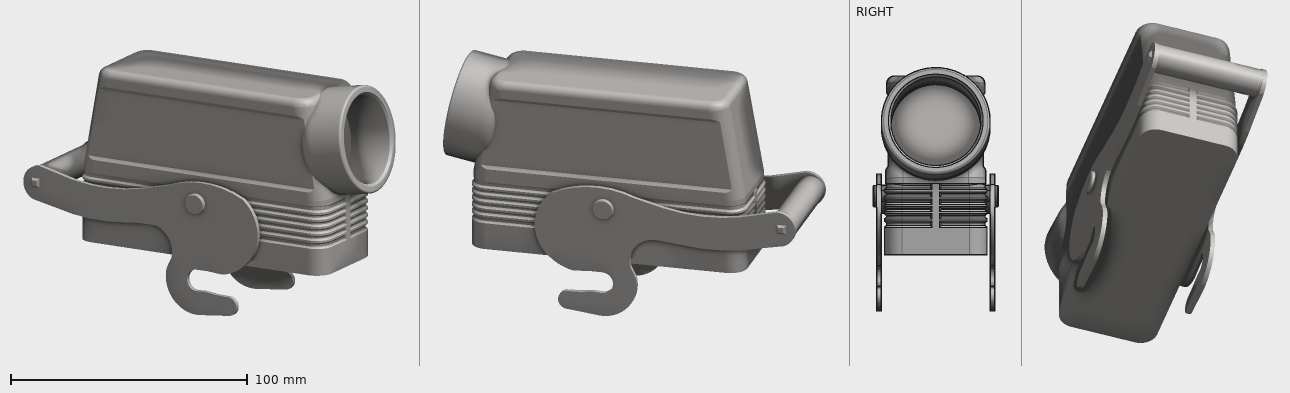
import cadquery as cq
import math

BASE_LENGTH = 120.2
BASE_WIDTH = 43.4
CORNER_RADIUS = 7.4
PLINTH_TOP = 11.7
BAND_TOP = 30.2
COLLAR_TOP = 32.7
HOOD_TOP = 75.6
COLLAR_INSET = 0.55
COLLAR_LENGTH = BASE_LENGTH - 2 * COLLAR_INSET
COLLAR_WIDTH = BASE_WIDTH - 2 * COLLAR_INSET
END_DRAFT = 10.0
SIDE_DRAFT = 0.5
TOP_FILLET = 3.4

GROOVE_COUNT = 6
GROOVE_PITCH = (BAND_TOP - PLINTH_TOP) / GROOVE_COUNT
GROOVE_DEPTH = 0.9
GROOVE_SLOPE_HEIGHT = 0.8
RIB_LAND = 0.9
STRIP_FACE_WIDTH = 3.0
STRIP_ROOT_WIDTH = 4.6

PANEL_BOTTOM = 37.4
PANEL_TOP = 67.2
PANEL_DEPTH = 0.95
PANEL_BEVEL = 1.4

ENTRY_RADIUS = 23.0
ENTRY_BORE_RADIUS = 19.0
ENTRY_BORE_DEPTH = 20.0
ENTRY_BORE_CHAMFER = 1.0
ENTRY_LENGTH = 22.5
ENTRY_FACE_X = 69.68
ENTRY_FACE_Z = 56.65
ENTRY_INNER_FILLET = 7.5
ENTRY_RIM_FILLET = 1.0

LEVER_OUTER_Y = 25.0
LEVER_THICKNESS = 2.0
LEVER_INNER_Y = LEVER_OUTER_Y - LEVER_THICKNESS
HOOK_X = 0.5
HOOK_Z = -8.65
HOOK_MOUTH_RADIUS = 4.7
HOOK_OUTER_RADIUS = 15.05
HOOK_ARC_ANGLES = (-80.0, -135.0, -194.0)
PIVOT_Z = 24.8
PIVOT_RADIUS = 2.5
PIVOT_HEAD_RADIUS = 4.6
PIVOT_HEAD_HEIGHT = 1.5
PIVOT_HEAD_CHAMFER = 0.5
HANDLE_RADIUS = 6.0
HANDLE_X = -77.8
HANDLE_Z = 23.5
STUB_SIDE = 4.0
STUB_TIP_SIDE = 2.2
STUB_HEIGHT = 1.0


def rounded_prism(length, width, start_z, height, radius, taper=0.0):
    """Prism with rounded corners, growing downward if height is negative; a taper narrows it from start_z on."""
    outline = cq.Sketch().rect(length, width).vertices().fillet(radius)
    return cq.Workplane("XY").workplane(offset=start_z).placeSketch(outline).extrude(height, taper=taper)


def make_rib_slope(land_z, length, width, radius, upward):
    """Sloped flank from a land of the given size down to the groove floor, above or below the land."""
    height = GROOVE_SLOPE_HEIGHT if upward else -GROOVE_SLOPE_HEIGHT
    land_inset = (BASE_LENGTH - length) / 2
    slope_depth = GROOVE_DEPTH - land_inset
    slope_angle = math.degrees(math.atan(slope_depth / GROOVE_SLOPE_HEIGHT))
    return rounded_prism(length, width, land_z, height, radius, slope_angle)


def make_rib(center_z):
    """Ring rib: vertical land with a sloped flank above and below it."""
    land_bottom = center_z - RIB_LAND / 2
    land_top = center_z + RIB_LAND / 2
    size = (BASE_LENGTH, BASE_WIDTH, CORNER_RADIUS)
    land = rounded_prism(BASE_LENGTH, BASE_WIDTH, land_bottom, RIB_LAND, CORNER_RADIUS)
    return land.union(make_rib_slope(land_top, *size, True)).union(make_rib_slope(land_bottom, *size, False))


def make_end_strips():
    """Upright strips that bridge the grooves in the middle of both ends."""
    half_length = BASE_LENGTH / 2
    root_x = half_length - GROOVE_DEPTH
    outline = [
        (-half_length, -STRIP_FACE_WIDTH / 2),
        (-root_x, -STRIP_ROOT_WIDTH / 2),
        (root_x, -STRIP_ROOT_WIDTH / 2),
        (half_length, -STRIP_FACE_WIDTH / 2),
        (half_length, STRIP_FACE_WIDTH / 2),
        (root_x, STRIP_ROOT_WIDTH / 2),
        (-root_x, STRIP_ROOT_WIDTH / 2),
        (-half_length, STRIP_FACE_WIDTH / 2),
    ]
    profile = cq.Workplane("XY").workplane(offset=PLINTH_TOP).polyline(outline).close()
    return profile.extrude(BAND_TOP - PLINTH_TOP)


def make_base():
    """Plinth and ribbed band."""
    base = rounded_prism(BASE_LENGTH, BASE_WIDTH, 0, PLINTH_TOP, CORNER_RADIUS)
    core = rounded_prism(
        BASE_LENGTH - 2 * GROOVE_DEPTH,
        BASE_WIDTH - 2 * GROOVE_DEPTH,
        PLINTH_TOP,
        BAND_TOP - PLINTH_TOP,
        CORNER_RADIUS - GROOVE_DEPTH,
    )
    plinth_slope = make_rib_slope(PLINTH_TOP, BASE_LENGTH, BASE_WIDTH, CORNER_RADIUS, True)
    collar_slope = make_rib_slope(BAND_TOP, COLLAR_LENGTH, COLLAR_WIDTH, CORNER_RADIUS, False)
    base = base.union(core).union(make_end_strips()).union(plinth_slope).union(collar_slope)
    for index in range(1, GROOVE_COUNT):
        base = base.union(make_rib(PLINTH_TOP + index * GROOVE_PITCH))
    return base


def side_half_width(z):
    """Half width of the drafted housing sides at height z."""
    return COLLAR_WIDTH / 2 - (z - BAND_TOP) * math.tan(math.radians(SIDE_DRAFT))


def make_housing():
    """Upright collar with the drafted housing above it, rounded at the corners and the top edge."""
    half_length = COLLAR_LENGTH / 2
    top_half_length = half_length - (HOOD_TOP - COLLAR_TOP) * math.tan(math.radians(END_DRAFT))
    side_profile = [
        (-half_length, BAND_TOP),
        (half_length, BAND_TOP),
        (half_length, COLLAR_TOP),
        (top_half_length, HOOD_TOP),
        (-top_half_length, HOOD_TOP),
        (-half_length, COLLAR_TOP),
    ]
    end_profile = [
        (-side_half_width(BAND_TOP), BAND_TOP),
        (side_half_width(BAND_TOP), BAND_TOP),
        (side_half_width(HOOD_TOP), HOOD_TOP),
        (-side_half_width(HOOD_TOP), HOOD_TOP),
    ]
    along_y = cq.Workplane("XZ").polyline(side_profile).close().extrude(BASE_WIDTH / 2, both=True)
    along_x = cq.Workplane("YZ").polyline(end_profile).close().extrude(BASE_LENGTH / 2, both=True)
    housing = along_y.intersect(along_x)
    housing = housing.edges("not(#Z)").fillet(CORNER_RADIUS)
    return housing.faces(">Z").edges().fillet(TOP_FILLET)


def make_panel_cutter():
    """Bevelled cutter for the sunken panel on the -Y side, following the side draft."""
    lower_edge = PANEL_BOTTOM - PANEL_BEVEL
    upper_edge = PANEL_TOP + PANEL_BEVEL
    clear_y = -BASE_WIDTH / 2
    profile = [
        (clear_y, lower_edge),
        (-side_half_width(lower_edge), lower_edge),
        (PANEL_DEPTH - side_half_width(PANEL_BOTTOM), PANEL_BOTTOM),
        (PANEL_DEPTH - side_half_width(PANEL_TOP), PANEL_TOP),
        (-side_half_width(upper_edge), upper_edge),
        (clear_y, upper_edge),
    ]
    return cq.Workplane("YZ").polyline(profile).close().extrude(BASE_LENGTH / 2, both=True)


def entry_plane():
    """Plane of the cable entry's open end; its normal points outward along the entry axis."""
    tilt = math.radians(END_DRAFT)
    return cq.Plane(
        origin=(ENTRY_FACE_X, 0, ENTRY_FACE_Z),
        xDir=(0, 1, 0),
        normal=(math.cos(tilt), 0, math.sin(tilt)),
    )


def make_entry():
    """Solid cable entry tube, rounded where it enters the housing and at its rim."""
    tube = cq.Workplane(entry_plane()).circle(ENTRY_RADIUS).extrude(-ENTRY_LENGTH)
    tube = tube.faces("<X").edges().fillet(ENTRY_INNER_FILLET)
    return tube.faces(">X").edges().fillet(ENTRY_RIM_FILLET)


def make_bore():
    """Blind bore of the cable entry with a chamfered mouth."""
    bore = cq.Workplane(entry_plane()).circle(ENTRY_BORE_RADIUS).extrude(-ENTRY_BORE_DEPTH)
    mouth = (
        cq.Workplane(entry_plane())
        .circle(ENTRY_BORE_RADIUS + ENTRY_BORE_CHAMFER)
        .workplane(offset=-ENTRY_BORE_CHAMFER)
        .circle(ENTRY_BORE_RADIUS)
        .loft()
    )
    return bore.union(mouth)


def make_hood():
    """Complete hood with side panels and the bored cable entry."""
    panel = make_panel_cutter()
    housing = make_housing().cut(panel).cut(panel.mirror("XZ"))
    return make_base().union(housing).union(make_entry()).cut(make_bore())


def hook_point(radius, angle):
    """Point on a circle about the hook centre, with the angle in degrees from +X toward +Z."""
    turn = math.radians(angle)
    return (HOOK_X + radius * math.cos(turn), HOOK_Z + radius * math.sin(turn))


def make_lever_plate():
    """Lever plate on the -Y side: handle arm, round cam plate and locking hook."""
    arm_end_top = (-75.7, 30.95)
    arm_end_tip = (HANDLE_X - HANDLE_RADIUS, HANDLE_Z)
    mouth_top, mouth_back, mouth_bottom = (hook_point(HOOK_MOUTH_RADIUS, angle) for angle in (90, 180, 270))
    back_start, back_middle, back_end = (hook_point(HOOK_OUTER_RADIUS, angle) for angle in HOOK_ARC_ANGLES)
    return (
        cq.Workplane("XZ", origin=(0, -LEVER_INNER_Y, 0))
        .moveTo(*arm_end_top)
        .lineTo(-59.8, 27.2)
        .threePointArc((-44.0, 25.8), (-26.5, 27.8))
        .lineTo(-13.4, 31.1)
        .threePointArc((5.7, 34.2), (22.7, 29.8))
        .threePointArc((30.0, 16.1), (23.2, 0.5))
        .threePointArc((18.3, -2.7), (13.1, -4.4))
        .lineTo(5.7, -3.9)
        .lineTo(*mouth_top)
        .threePointArc(mouth_back, mouth_bottom)
        .lineTo(4.3, -13.1)
        .lineTo(10.4, -13.8)
        .lineTo(16.6, -14.0)
        .threePointArc((19.8, -18.0), (16.6, -22.0))
        .lineTo(*back_start)
        .threePointArc(back_middle, back_end)
        .lineTo(-11.8, -0.3)
        .threePointArc((-12.9, 7.6), (-19.4, 12.7))
        .lineTo(-23.7, 13.1)
        .lineTo(-34.5, 12.0)
        .threePointArc((-46.0, 11.2), (-59.6, 12.2))
        .lineTo(-79.0, 16.1)
        .threePointArc(arm_end_tip, arm_end_top)
        .close()
        .extrude(LEVER_THICKNESS)
    )


def make_lever_side():
    """Lever plate on the -Y side with its pivot pin and the square stub of the handle bar."""
    pin = (
        cq.Workplane("XZ")
        .center(0, PIVOT_Z)
        .circle(PIVOT_RADIUS)
        .extrude(LEVER_OUTER_Y)
        .faces("<Y")
        .workplane()
        .circle(PIVOT_HEAD_RADIUS)
        .extrude(PIVOT_HEAD_HEIGHT)
        .faces("<Y")
        .edges()
        .chamfer(PIVOT_HEAD_CHAMFER)
    )
    stub = (
        cq.Workplane("XZ", origin=(HANDLE_X, -LEVER_OUTER_Y, HANDLE_Z))
        .rect(STUB_SIDE, STUB_SIDE)
        .workplane(offset=STUB_HEIGHT)
        .rect(STUB_TIP_SIDE, STUB_TIP_SIDE)
        .loft()
    )
    return make_lever_plate().union(pin).union(stub)


def make_lever():
    """Both lever sides joined by the round handle bar."""
    side = make_lever_side()
    bar_circle = cq.Workplane("XZ").center(HANDLE_X, HANDLE_Z).circle(HANDLE_RADIUS)
    bar = bar_circle.extrude(LEVER_INNER_Y, both=True)
    return bar.union(side).union(side.mirror("XZ"))


result = make_hood().union(make_lever())